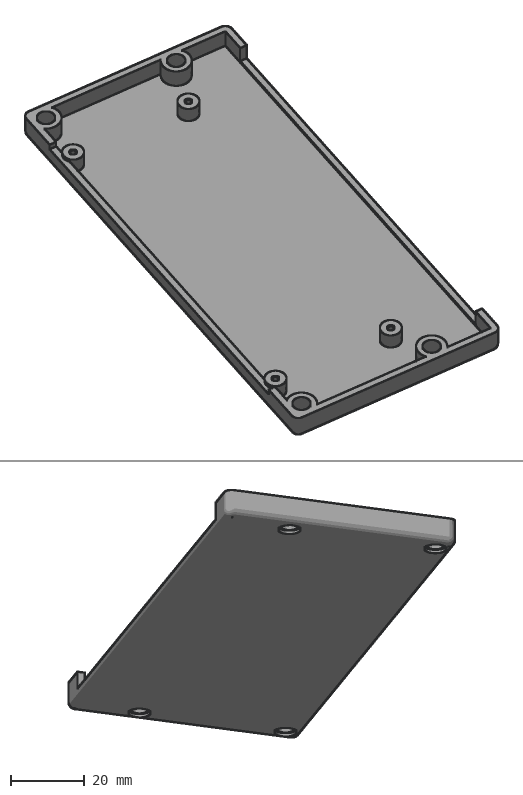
import cadquery as cq

LENGTH = 140.1
WIDTH = 65.96
HEIGHT = 7.5
WALL = 2.1
FLOOR = 2.0
CORNER_RADIUS = 2.07
BOTTOM_FILLET = 2.0

FRONT_OPENING_INSET = 14.0
FRONT_OPENING_SILL = 5.75
REAR_OPENING_INSET = 9.75
REAR_OPENING_SILL = 2.5

SCREW_INSET = 4.6
SCREW_X = LENGTH / 2 - SCREW_INSET
SCREW_YS = (-28.25, 13.55)
BOSS_DIAMETER = 8.5
SCREW_HOLE_DIAMETER = 5.0
SCREW_HEAD_DIAMETER = 6.0
SCREW_HEAD_DEPTH = 1.0

POST_XS = (-51.05, 52.65)
POST_YS = (-28.6, 8.45)
POST_DIAMETER = 6.0
POST_TOP = 6.6
PILOT_DIAMETER = 1.62
PILOT_MOUTH_DIAMETER = 2.07

SCREW_POINTS = [(x, y) for x in (-SCREW_X, SCREW_X) for y in SCREW_YS]
POST_POINTS = [(x, y) for x in POST_XS for y in POST_YS]


def cylinders(points, diameter, bottom, top):
    """Upright cylinders at the given points, between two heights."""
    plane = cq.Workplane("XY").workplane(offset=bottom)
    return plane.pushPoints(points).circle(diameter / 2).extrude(top - bottom)


def box(length, width, bottom, top):
    """Upright block centred on the Z axis, between two heights."""
    return cq.Workplane("XY").workplane(offset=bottom).rect(length, width).extrude(top - bottom)


def outer_block():
    """Tray envelope with rounded corners and a rounded bottom edge."""
    block = box(LENGTH, WIDTH, 0, HEIGHT).edges("|Z").fillet(CORNER_RADIUS)
    return block.faces("<Z").edges().fillet(BOTTOM_FILLET)


def wall_opening(side, inset, sill):
    """Cutter lowering one long wall to the sill; side is -1 (front) or +1 (rear)."""
    wall_centre = side * (WIDTH - WALL) / 2
    return box(LENGTH - 2 * inset, WALL, sill, HEIGHT).translate((0, wall_centre, 0))


def pilot_mouths():
    """45 degree countersinks at the tops of the pilot holes."""
    depth = (PILOT_MOUTH_DIAMETER - PILOT_DIAMETER) / 2
    cone = cq.Solid.makeCone(PILOT_DIAMETER / 2, PILOT_MOUTH_DIAMETER / 2, depth)
    bottom = POST_TOP - depth
    return cq.Workplane("XY").workplane(offset=bottom).pushPoints(POST_POINTS).eachpoint(cone)


tray = outer_block().cut(box(LENGTH - 2 * WALL, WIDTH - 2 * WALL, FLOOR, HEIGHT))
tray = tray.cut(wall_opening(-1, FRONT_OPENING_INSET, FRONT_OPENING_SILL))
tray = tray.cut(wall_opening(1, REAR_OPENING_INSET, REAR_OPENING_SILL))

tray = tray.union(cylinders(SCREW_POINTS, BOSS_DIAMETER, FLOOR, HEIGHT))
tray = tray.union(cylinders(POST_POINTS, POST_DIAMETER, FLOOR, POST_TOP))

tray = tray.cut(cylinders(SCREW_POINTS, SCREW_HOLE_DIAMETER, 0, HEIGHT))
tray = tray.cut(cylinders(SCREW_POINTS, SCREW_HEAD_DIAMETER, 0, SCREW_HEAD_DEPTH))

tray = tray.cut(cylinders(POST_POINTS, PILOT_DIAMETER, FLOOR, POST_TOP))
tray = tray.cut(pilot_mouths())

result = tray